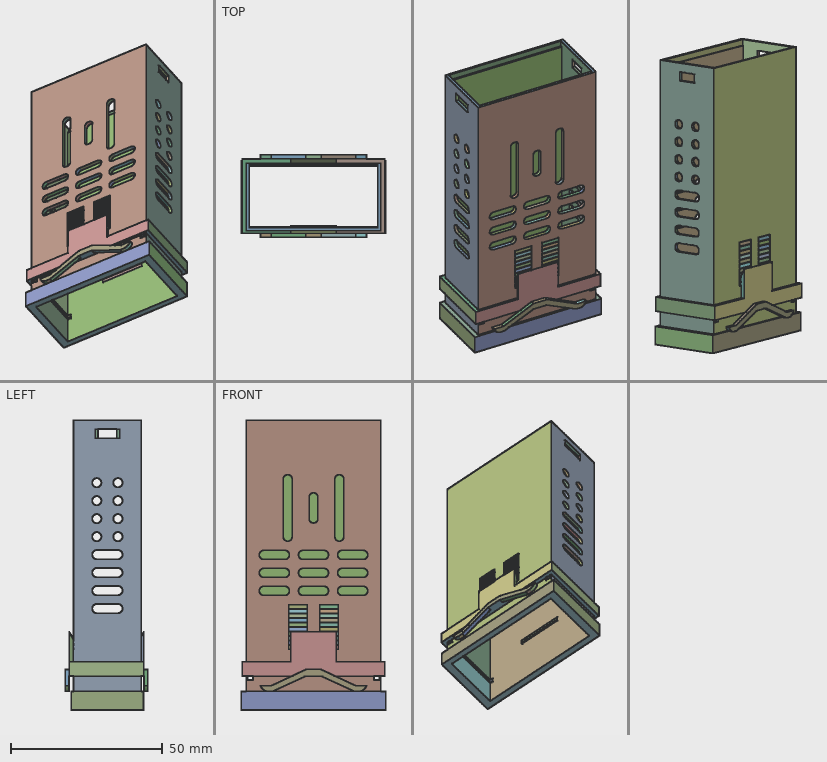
import cadquery as cq

base_width = 48.0
base_depth = 24.0
base_height = 6.1

total_height = 96.0
case_width = 44.6
case_depth = 22.5
case_y = -0.3
case_front = case_y - case_depth / 2
case_back = case_y + case_depth / 2

side_wall = 1.1
front_wall = 1.3
back_wall = 1.2
front_rim_wall = 1.0
back_rim_wall = 0.6
rim_recess_height = 2.0

vent_width = 3.0
vent_length = 10.0
vent_pitch = 6.0
front_vent_top_z = 51.4
front_vent_column_pitch = 13.0
front_vent_columns = 3
front_vent_rows = 3
tall_vent_length = 22.0
tall_vent_x = 8.5
tall_vent_z = 66.9
side_vent_count = 4
side_slot_bottom_z = 33.6
side_hole_bottom_z = side_slot_bottom_z + side_vent_count * vent_pitch
side_hole_spacing = vent_length - vent_width

window_height = 3.0
window_z = 91.5
left_window_length = 8.1
right_window_length = 6.1

corner_hole_size = 1.7
corner_hole_x = 20.9
corner_hole_bottom_z = 10.0

tooth_count = 10
ratchet_height = 15.0
tooth_pitch = ratchet_height / tooth_count
tooth_land = 0.2
tooth_depth = 0.53
ratchet_bottom_z = 20.1
ratchet_inner_x = 2.0
ratchet_outer_x = 8.3
ratchet_width = ratchet_outer_x - ratchet_inner_x

ring_width = 47.3
ring_depth = 24.7
ring_bottom_z = 11.2
ring_top_z = 16.0
tongue_width = 15.2
tongue_tip_z = 25.9
pawl_tip_y = 9.8
pawl_slope = 1.8
pawl_tip_z = tongue_tip_z - pawl_slope * (ring_depth / 2 - pawl_tip_y)
spring_thickness = 1.3
spring_end_x = 17.6
spring_end_z = 8.1
spring_toe_x = 15.3
spring_knee_x = 13.9
spring_heel_x = 13.6
spring_crest_x = 2.5
spring_crest_top_z = 13.4
spring_crest_bottom_z = ring_bottom_z
spring_end_arc = (16.7, 6.8)


def box(width, depth, height, x, y, bottom):
    """Box centred on x and y, standing on the level 'bottom'."""
    return cq.Workplane("XY").box(width, depth, height, centered=(True, True, False)).translate((x, y, bottom))


def front_slot(length, x, z, angle=0):
    """Cutter for a round-ended slot through the front wall only."""
    slot = cq.Workplane("XZ").slot2D(length, vent_width, angle).extrude(case_depth / 2)
    return slot.translate((x, case_y, z))


def front_vents():
    """Cutter for the tall slots and the grid of level slots in the front wall."""
    vents = front_slot(vent_length, 0, tall_vent_z, 90)
    for x in (-tall_vent_x, tall_vent_x):
        vents = vents.union(front_slot(tall_vent_length, x, tall_vent_z, 90))
    for column in range(front_vent_columns):
        x = (column - (front_vent_columns - 1) / 2) * front_vent_column_pitch
        for row in range(front_vent_rows):
            vents = vents.union(front_slot(vent_length, x, front_vent_top_z - row * vent_pitch))
    return vents


def side_vents():
    """Cutter for the slots and round holes through both side walls."""
    side = cq.Workplane("YZ", origin=(0, case_y, 0))
    slots = [(0, side_slot_bottom_z + i * vent_pitch) for i in range(side_vent_count)]
    holes = [
        (y, side_hole_bottom_z + i * vent_pitch)
        for i in range(side_vent_count)
        for y in (-side_hole_spacing / 2, side_hole_spacing / 2)
    ]
    slot_cut = side.pushPoints(slots).slot2D(vent_length, vent_width).extrude(case_width / 2, both=True)
    hole_cut = side.pushPoints(holes).circle(vent_width / 2).extrude(case_width / 2, both=True)
    return slot_cut.union(hole_cut)


def latch_windows():
    """Cutter for one rectangular window in each side wall."""
    bottom = window_z - window_height / 2
    left = box(case_width / 2, left_window_length, window_height, -case_width / 2, case_y, bottom)
    right = box(case_width / 2, right_window_length, window_height, case_width / 2, case_y, bottom)
    return left.union(right)


def corner_holes():
    """Cutter for the corner openings through both long walls."""
    holes = cq.Workplane("XY")
    for x in (-corner_hole_x, corner_hole_x):
        holes = holes.union(
            box(corner_hole_size, base_depth, corner_hole_size, x, case_y, corner_hole_bottom_z)
        )
    return holes


def ratchet(wall_y, inward):
    """Cutter for sawtooth grooves in the wall at wall_y; 'inward' is the sign of Y into the wall."""
    strip = cq.Workplane("YZ")
    for tooth in range(tooth_count):
        bottom = ratchet_bottom_z + tooth * tooth_pitch
        top = bottom + tooth_pitch - tooth_land
        groove = [(wall_y, bottom), (wall_y + inward * tooth_depth, top), (wall_y, top)]
        strip = strip.union(cq.Workplane("YZ").polyline(groove).close().extrude(ratchet_width))
    left = strip.translate((-ratchet_outer_x, 0, 0))
    right = strip.translate((ratchet_inner_x, 0, 0))
    return left.union(right)


def cavity(front_thickness, back_thickness, bottom):
    """Cutter from 'bottom' to the rim that leaves the given front and back wall thicknesses."""
    depth = case_depth - front_thickness - back_thickness
    y = case_y + (front_thickness - back_thickness) / 2
    return box(case_width - 2 * side_wall, depth, total_height - bottom, 0, y, bottom)


def make_housing():
    """Open rectangular tube on a flange, with all its openings."""
    housing = box(base_width, base_depth, base_height, 0, case_y, 0)
    housing = housing.union(box(case_width, case_depth, total_height, 0, case_y, 0))
    housing = housing.cut(cavity(front_wall, back_wall, 0))
    housing = housing.cut(cavity(front_rim_wall, back_rim_wall, total_height - rim_recess_height))
    housing = housing.cut(front_vents())
    housing = housing.cut(side_vents())
    housing = housing.cut(latch_windows())
    housing = housing.cut(corner_holes())
    housing = housing.cut(ratchet(case_front, 1))
    return housing.cut(ratchet(case_back, -1))


def tongue(wall_y, side):
    """Flat tongue along the wall at wall_y with a wedge pawl; 'side' is -1 front, +1 back."""
    outer_y = side * ring_depth / 2
    profile = [
        (outer_y, ring_bottom_z),
        (outer_y, tongue_tip_z),
        (side * pawl_tip_y, pawl_tip_z),
        (side * pawl_tip_y, ratchet_bottom_z),
        (wall_y, ratchet_bottom_z),
        (wall_y, ring_bottom_z),
    ]
    return cq.Workplane("YZ").polyline(profile).close().extrude(tongue_width / 2, both=True)


def spring(side):
    """Bowed spring on the outer face of the ring; 'side' is -1 front, +1 back."""
    arc_x, arc_z = spring_end_arc
    body = (
        cq.Workplane("XZ")
        .moveTo(-spring_end_x, spring_end_z)
        .lineTo(-spring_knee_x, spring_end_z)
        .lineTo(-spring_crest_x, spring_crest_top_z)
        .lineTo(spring_crest_x, spring_crest_top_z)
        .lineTo(spring_knee_x, spring_end_z)
        .lineTo(spring_end_x, spring_end_z)
        .threePointArc((arc_x, arc_z), (spring_toe_x, base_height))
        .lineTo(spring_heel_x, base_height)
        .lineTo(spring_crest_x, spring_crest_bottom_z)
        .lineTo(-spring_crest_x, spring_crest_bottom_z)
        .lineTo(-spring_heel_x, base_height)
        .lineTo(-spring_toe_x, base_height)
        .threePointArc((-arc_x, arc_z), (-spring_end_x, spring_end_z))
        .close()
        .extrude(spring_thickness / 2, both=True)
    )
    return body.translate((0, side * (ring_depth + spring_thickness) / 2, 0))


def make_clamp():
    """Ring that fits around the case, with its tongues and springs."""
    ring_height = ring_top_z - ring_bottom_z
    clamp = box(ring_width, ring_depth, ring_height, 0, 0, ring_bottom_z)
    clamp = clamp.cut(box(case_width, case_depth, ring_height, 0, case_y, ring_bottom_z))
    for wall_y, side in ((case_front, -1), (case_back, 1)):
        clamp = clamp.union(tongue(wall_y, side))
        clamp = clamp.union(spring(side))
    return clamp


clamp = make_clamp()
housing = make_housing().cut(clamp)

result = cq.Compound.makeCompound([*housing.solids().vals(), *clamp.solids().vals()])